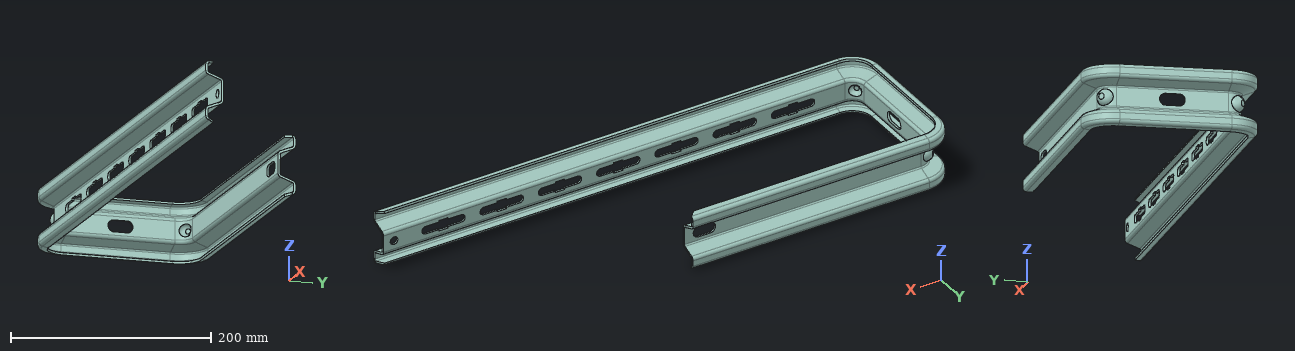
import cadquery as cq
import math

long_leg_length = 574.0
short_leg_length = 310.0
bracket_width = 180.0
bend_radius = 33.0
half_width = bracket_width / 2
corner_y = half_width - bend_radius

sheet = 2.5
fold_radius = 2.0
rail_depth = 19.0
rail_height = 64.0
web_depth = rail_depth - sheet
web_half_height = 11.0
flange_start = 17.0
lip_reach = 10.0
lip_tilt = math.radians(10)
lip_corner_cut = 6.5

keyhole_count = 7
keyhole_pitch = 68.5
first_keyhole_x = 93.5
keyhole_length = 50.5
keyhole_height = 8.5
keyhole_middle_length = 10.5
keyhole_middle_height = 12.0
end_hole_diameter = 8.5
end_hole_x = 561.5
oblong_length = 26.0
oblong_height = 12.0
oblong_from_leg_end = 23.5

dome_angle = 135
dome_radius = 9.0
dome_center_offset = 12.5
dome_skirt = 3.0
dome_flat_offset = 21.0

cut_depth = 6.0
cut_margin = 3.0
lip_cut_floor = 23.0


def offset_path(points, distance):
    """Shift an open polyline to its left, keeping mitred corners and square ends."""
    headings = [math.atan2(b[1] - a[1], b[0] - a[0]) for a, b in zip(points, points[1:])]
    shifted = []
    for i, (d, z) in enumerate(points):
        before = headings[max(i - 1, 0)]
        after = headings[min(i, len(headings) - 1)]
        half_turn = (after - before) / 2
        normal = before + half_turn + math.pi / 2
        reach = distance / math.cos(half_turn)
        shifted.append((d + reach * math.cos(normal), z + reach * math.sin(normal)))
    return shifted


def rounded_corner(before, corner, after):
    """Start, middle and end of the fold arc at one corner of the counter-clockwise section."""
    point = cq.Vector(*corner)
    incoming = point.sub(cq.Vector(*before)).normalized()
    outgoing = cq.Vector(*after).sub(point).normalized()
    bulges_out = incoming.cross(outgoing).z > 0
    radius = fold_radius + sheet if bulges_out else fold_radius
    half_turn = incoming.getAngle(outgoing) / 2
    setback = radius * math.tan(half_turn)
    corner_gap = radius * (1 / math.cos(half_turn) - 1)
    start = point.sub(incoming.multiply(setback))
    middle = point.add(outgoing.sub(incoming).normalized().multiply(corner_gap))
    end = point.add(outgoing.multiply(setback))
    return [(p.x, p.y) for p in (start, middle, end)]


def draw_folded_side(work, points):
    """Draw one side of the sheet from its first point to its last, with rounded folds."""
    work = work.lineTo(*points[0])
    for before, corner, after in zip(points, points[1:], points[2:]):
        start, middle, end = rounded_corner(before, corner, after)
        work = work.lineTo(*start).threePointArc(middle, end)
    return work.lineTo(*points[-1])


def rail():
    """Folded sheet section swept along the U-shaped outer line."""
    lip_tip_height = rail_height / 2
    lip_root_height = lip_tip_height - lip_reach * math.tan(lip_tilt)
    upper_half = [
        (lip_reach, lip_tip_height),
        (0, lip_root_height),
        (0, flange_start),
        (web_depth, web_half_height),
    ]
    lower_half = [(d, -z) for d, z in reversed(upper_half)]
    outer_side = upper_half + lower_half
    inner_side = offset_path(outer_side, sheet)

    section_plane = cq.Plane((long_leg_length, -half_width, 0), xDir=(0, 1, 0), normal=(1, 0, 0))
    section = cq.Workplane(section_plane).moveTo(*inner_side[0])
    section = draw_folded_side(section, outer_side)
    section = draw_folded_side(section, inner_side[::-1])
    section = section.close()

    path = (
        cq.Workplane("XY")
        .moveTo(long_leg_length, -half_width)
        .lineTo(bend_radius, -half_width)
        .radiusArc((0, -corner_y), bend_radius)
        .lineTo(0, corner_y)
        .radiusArc((bend_radius, half_width), bend_radius)
        .lineTo(short_leg_length, half_width)
    )
    return section.sweep(path)


def xz_cutter(outline, web_face_y):
    """Turn an outline in the XZ plane into a cutter passing through a leg web at web_face_y."""
    return outline.extrude(cut_depth, both=True).translate((0, web_face_y, 0))


def long_leg_openings():
    """Row of keyhole slots, and a round hole near the free end."""
    centers = [(first_keyhole_x + i * keyhole_pitch, 0) for i in range(keyhole_count)]
    slots = cq.Workplane("XZ").pushPoints(centers).slot2D(keyhole_length, keyhole_height)
    middles = cq.Workplane("XZ").pushPoints(centers).rect(keyhole_middle_length, keyhole_middle_height)
    hole = cq.Workplane("XZ").center(end_hole_x, 0).circle(end_hole_diameter / 2)
    web_y = rail_depth - half_width
    return [xz_cutter(outline, web_y) for outline in (slots, middles, hole)]


def short_leg_opening():
    """Oblong hole near the free end of the short leg."""
    outline = (
        cq.Workplane("XZ")
        .center(short_leg_length - oblong_from_leg_end, 0)
        .slot2D(oblong_length, oblong_height)
    )
    return xz_cutter(outline, half_width - rail_depth)


def base_opening():
    """Oblong hole in the middle of the base."""
    return (
        cq.Workplane("YZ", origin=(rail_depth, 0, 0))
        .slot2D(oblong_length, oblong_height)
        .extrude(cut_depth, both=True)
    )


def lip_corner_cutter(leg_length, side):
    """Prisms cutting 45 degrees off the free corner of both lips; side is the sign of the leg's Y."""
    lip_edge_y = side * (half_width - lip_reach)
    edge_x = leg_length - lip_corner_cut
    far_x = leg_length + cut_margin
    upper = (
        cq.Workplane("XY", origin=(0, 0, lip_cut_floor))
        .moveTo(edge_x - cut_margin, lip_edge_y - side * cut_margin)
        .lineTo(far_x, lip_edge_y - side * cut_margin)
        .lineTo(far_x, lip_edge_y + side * (far_x - edge_x))
        .close()
        .extrude(rail_height / 2)
    )
    return upper.union(upper.mirror("XY"))


def dome_shape(radius, flat_offset):
    """Half ball on the X axis with a short cylindrical skirt, cut flat at flat_offset from the origin."""
    flat_radius = math.sqrt(radius**2 - (flat_offset - dome_center_offset) ** 2)
    arc_middle = radius * math.sqrt(0.5)
    return (
        cq.Workplane("XY")
        .moveTo(dome_center_offset - dome_skirt, 0)
        .lineTo(dome_center_offset - dome_skirt, radius)
        .lineTo(dome_center_offset, radius)
        .threePointArc((dome_center_offset + arc_middle, arc_middle), (flat_offset, flat_radius))
        .lineTo(flat_offset, 0)
        .close()
        .revolve(360, (0, 0, 0), (1, 0, 0))
    )


def place_at_corner(body, side):
    """Turn a body on the X axis outward and move it to the bend axis of one U corner."""
    turned = body.rotate((0, 0, 0), (0, 0, 1), side * dome_angle)
    return turned.translate((bend_radius, side * corner_y, 0))


def dome_skin(side):
    """Outside of a dome, starting halfway through the curved web."""
    mid_web_radius = bend_radius - rail_depth + sheet / 2
    web_core = cq.Workplane("XY").cylinder(rail_height, mid_web_radius)
    dome = dome_shape(dome_radius, dome_flat_offset).cut(web_core)
    return place_at_corner(dome, side)


def dome_hollow(side):
    """Recess behind a dome, leaving it one sheet thick."""
    hollow = dome_shape(dome_radius - sheet, dome_flat_offset - sheet)
    return place_at_corner(hollow, side)


bracket = rail()
for corner_side in (-1, 1):
    bracket = bracket.union(dome_skin(corner_side))
    bracket = bracket.cut(dome_hollow(corner_side))

cutters = long_leg_openings() + [
    short_leg_opening(),
    base_opening(),
    lip_corner_cutter(long_leg_length, -1),
    lip_corner_cutter(short_leg_length, 1),
]
for cutter in cutters:
    bracket = bracket.cut(cutter)

result = bracket